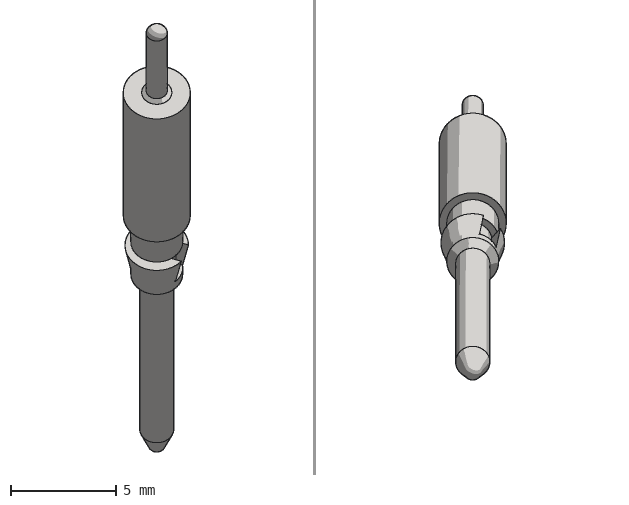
import cadquery as cq

total_length = 32.5
tip_cone_bottom = 0.32
tip_cone_top = 1.5
shaft_top = 13.2
band_bottom = 13.5
collar_bottom = 14.0
collar_top = 15.7
neck_bottom = 16.0
body_bottom = 18.0
body_top = 27.5
foot_height = 0.15
cap_height = 0.4

tip_radius = 0.42
shaft_radius = 0.8
band_radius = 1.25
groove_radius = 0.9
body_radius = 1.6
foot_radius = 0.7
pin_radius = 1.0 / 2
collar_bottom_radius = band_radius
collar_top_radius = 3.02 / 2

collar_gap = 1.05


def dome_mid_radius(base_radius, height):
    """Radius of a spherical cap halfway up its height."""
    sphere_radius = (base_radius**2 + height**2) / (2 * height)
    depth_from_crown = height / 2
    return (depth_from_crown * (2 * sphere_radius - depth_from_crown)) ** 0.5


def make_core():
    """Turned contact with rounded ends, a collar groove and a thin upper pin."""
    cap_bottom = total_length - cap_height
    tip_mid = (dome_mid_radius(tip_radius, tip_cone_bottom), tip_cone_bottom / 2)
    cap_mid = (dome_mid_radius(pin_radius, cap_height), cap_bottom + cap_height / 2)
    return (
        cq.Workplane("XZ")
        .moveTo(0, 0)
        .threePointArc(tip_mid, (tip_radius, tip_cone_bottom))
        .lineTo(shaft_radius, tip_cone_top)
        .lineTo(shaft_radius, shaft_top)
        .lineTo(band_radius, band_bottom)
        .lineTo(band_radius, collar_bottom)
        .lineTo(groove_radius, collar_bottom)
        .lineTo(groove_radius, neck_bottom)
        .lineTo(band_radius, neck_bottom)
        .lineTo(band_radius, body_bottom)
        .lineTo(body_radius, body_bottom)
        .lineTo(body_radius, body_top)
        .lineTo(foot_radius, body_top)
        .lineTo(pin_radius, body_top + foot_height)
        .lineTo(pin_radius, cap_bottom)
        .threePointArc(cap_mid, (0, total_length))
        .close()
        .revolve(360, (0, 0), (0, 1))
    )


def make_collar():
    """Conical retaining ring seated in the groove, split on its +X side."""
    collar_height = collar_top - collar_bottom
    ring = (
        cq.Workplane("XZ")
        .moveTo(groove_radius, collar_bottom)
        .lineTo(collar_bottom_radius, collar_bottom)
        .lineTo(collar_top_radius, collar_top)
        .lineTo(groove_radius, collar_top)
        .close()
        .revolve(360, (0, 0), (0, 1))
    )
    gap = (
        cq.Workplane("XY", origin=(0, 0, collar_bottom))
        .box(body_radius, collar_gap, collar_height, centered=(False, True, False))
    )
    return ring.cut(gap)


result = make_core().union(make_collar())